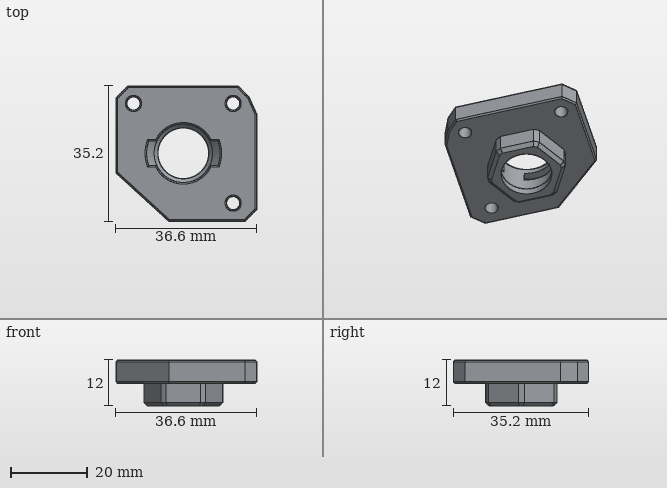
import cadquery as cq
import math

plate_thickness = 6.0
total_height = 11.95
edge_chamfer = 0.4

left, right = -17.5, 19.12
back, front = 17.5, -17.7
corner_cut = 3.08
plate_outline = [
    (left + corner_cut, back),
    (14.3, back),
    (17.15, 14.58),
    (right, 10.2),
    (right, front + corner_cut),
    (right - corner_cut, front),
    (-3.77, front),
    (left, -5.13),
    (left, back - corner_cut),
]

screw_offset = 12.95
screw_diameter = 3.4

hex_across_flats = 18.6
hex_across_cut_corners = 20.6
boss_chamfer = 1.0

bore_radius = 15.2 / 2
through_radius = 13.2 / 2
groove_radius = 9.55
slot_width = 6.37
lip_depth = 2.0
groove_straight_depth = 2.85
bore_depth = 8.8
groove_end_depth = groove_straight_depth + groove_radius - bore_radius
bore_end_depth = bore_depth + bore_radius - through_radius
slot_half_angle = math.degrees(math.asin(slot_width / 2 / groove_radius))
lock_turn = 90.0


def make_plate():
    plate = cq.Workplane("XY").polyline(plate_outline).close().extrude(-plate_thickness)
    return plate.faces("<Z or >Z").edges().chamfer(edge_chamfer)


def hex_prism(across_flats, first_angle):
    """Hexagonal prism from inside the plate down to the bottom of the boss."""
    radius = across_flats / math.sqrt(3)
    corners = []
    for i in range(6):
        angle = math.radians(first_angle + 60 * i)
        corners.append((radius * math.cos(angle), radius * math.sin(angle)))
    top = -plate_thickness / 2
    sketch = cq.Workplane("XY", origin=(0, 0, top)).polyline(corners).close()
    return sketch.extrude(-total_height - top)


def make_boss():
    boss = hex_prism(hex_across_flats, 0).intersect(hex_prism(hex_across_cut_corners, 30))
    return boss.faces("<Z").edges().chamfer(boss_chamfer)


def revolved(profile, start_angle=0, sweep=360):
    """Revolve a (radius, z) profile about the Z axis, counterclockwise from start_angle."""
    solid = cq.Workplane("XZ").polyline(profile).close().revolve(sweep, (0, 0), (0, 1))
    return solid.rotate((0, 0, 0), (0, 0, 1), start_angle)


def make_bore():
    return revolved([
        (0, 0),
        (bore_radius, 0),
        (bore_radius, -bore_depth),
        (through_radius, -bore_end_depth),
        (through_radius, -total_height),
        (0, -total_height),
    ])


def groove_profile(top):
    """Groove section from height top down to the cone that narrows to the bore."""
    return [
        (0, top),
        (groove_radius, top),
        (groove_radius, -groove_straight_depth),
        (bore_radius, -groove_end_depth),
        (0, -groove_end_depth),
    ]


def make_entry_slots():
    bar = cq.Workplane("XY").rect(4 * groove_radius, slot_width).extrude(-total_height)
    return revolved(groove_profile(0)).intersect(bar)


def flare(radius):
    """Cone that chamfers the mouth of a round opening of the given radius."""
    return revolved([
        (0, 0),
        (radius + edge_chamfer, 0),
        (radius, -edge_chamfer),
        (0, -edge_chamfer),
    ])


def make_mouth_chamfer():
    half_width = slot_width / 2
    wedge_section = [
        (-half_width - edge_chamfer, 0),
        (half_width + edge_chamfer, 0),
        (half_width, -edge_chamfer),
        (-half_width, -edge_chamfer),
    ]
    length = 2 * groove_radius
    wedge = cq.Workplane("YZ").polyline(wedge_section).close().extrude(length, both=True)
    return flare(bore_radius).union(flare(groove_radius).intersect(wedge))


def make_locking_grooves():
    """Two opposite grooves, each swept by a slot through the locking turn."""
    sweep = lock_turn + 2 * slot_half_angle
    groove = revolved(groove_profile(-lip_depth), -slot_half_angle, sweep)
    return groove.union(groove.rotate((0, 0, 0), (0, 0, 1), 180))


def make_screw_hole(x, y):
    radius = screw_diameter / 2
    rim = radius + edge_chamfer
    hole = revolved([
        (0, 0),
        (rim, 0),
        (radius, -edge_chamfer),
        (radius, -plate_thickness),
        (0, -plate_thickness),
    ])
    return hole.translate((x, y, 0))


socket = make_entry_slots().union(make_locking_grooves()).union(make_bore()).clean()
result = make_plate().union(make_boss()).cut(socket).cut(make_mouth_chamfer())
for x_side, y_side in ((-1, 1), (1, 1), (1, -1)):
    result = result.cut(make_screw_hole(x_side * screw_offset, y_side * screw_offset))